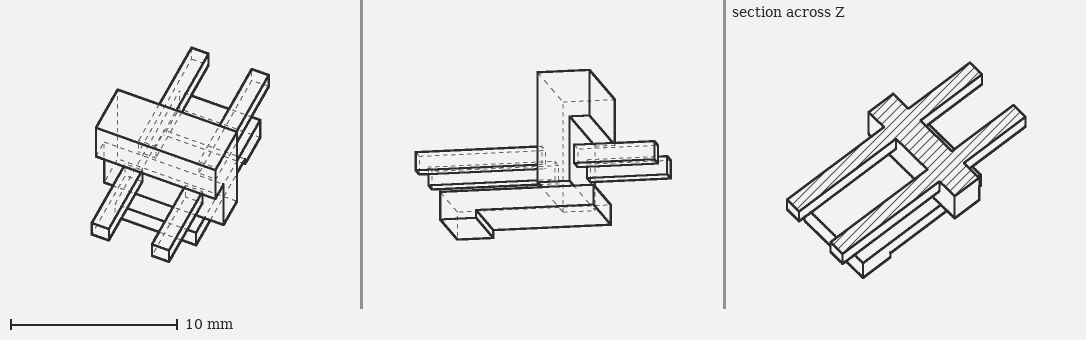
import cadquery as cq

pin_length = 14.6
body_width = 7.85
total_height = 8.5

front_y = 3.7
body_depth = 3.18
wall_thickness = 1.97
head_height = 2.82

tongue_width = 5.33
tongue_length = 9.39
tongue_thickness = 1.23
hook_length = 2.2
hook_drop = 0.48

pin_size = 1.12
pin_pitch = 3.95
pin_center_z = 3.7

tongue_top = hook_drop + tongue_thickness
body_back_y = front_y + body_depth
wall_front_y = body_back_y - wall_thickness
head_bottom = total_height - head_height
tongue_back_y = front_y + tongue_length
hook_front_y = tongue_back_y - hook_length


def extrude_profile(points, width):
    """Extrude a closed (Y, Z) outline symmetrically about X = 0."""
    return cq.Workplane("YZ").polyline(points).close().extrude(width / 2, both=True)


body = extrude_profile(
    [
        (wall_front_y, tongue_top),
        (body_back_y, tongue_top),
        (body_back_y, total_height),
        (front_y, total_height),
        (front_y, head_bottom),
        (wall_front_y, head_bottom),
    ],
    body_width,
)

tongue = extrude_profile(
    [
        (front_y, hook_drop),
        (hook_front_y, hook_drop),
        (hook_front_y, 0),
        (tongue_back_y, 0),
        (tongue_back_y, tongue_top),
        (front_y, tongue_top),
    ],
    tongue_width,
)

result = body.union(tongue)

for pin_x in (-pin_pitch / 2, pin_pitch / 2):
    pin = cq.Workplane("XY").box(pin_size, pin_length, pin_size)
    result = result.union(pin.translate((pin_x, pin_length / 2, pin_center_z)))